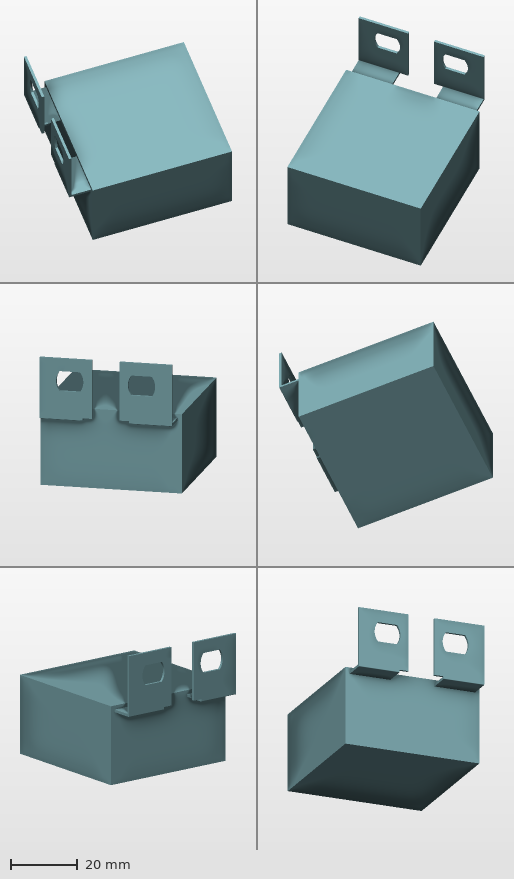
import cadquery as cq

total_length = 51.2
total_height = 41.4

housing_width = 43.5
housing_height = 24.5
terminal_reach = 7.0
housing_length = total_length - terminal_reach

sheet = 0.8
bend_radius = 0.15
side_inset = 1.4
tab_width = 16.15
foot_width = 13.2
foot_bottom = 22.5
notch_height = 0.8
tab_outer_x = housing_width / 2 - side_inset
tab_inner_x = tab_outer_x - tab_width

hole_width = 8.4
hole_height = 6.15
hole_flat = 6.25
hole_x = 11.05
hole_below_top = 7.0


def make_housing():
    return cq.Workplane("XY").box(
        housing_width, housing_length, housing_height, centered=(True, False, False)
    )


def make_angle():
    """Bent strip: foot under a full-width upright tab, with slightly eased bend edges."""
    profile = [
        (0, foot_bottom),
        (-terminal_reach, foot_bottom),
        (-terminal_reach, total_height),
        (-terminal_reach + sheet, total_height),
        (-terminal_reach + sheet, foot_bottom + sheet),
        (0, foot_bottom + sheet),
    ]
    angle = (
        cq.Workplane("YZ", origin=(tab_inner_x, 0, 0))
        .polyline(profile)
        .close()
        .extrude(tab_width)
    )
    outer_edge = cq.selectors.NearestToPointSelector(
        (tab_inner_x + tab_width / 2, -terminal_reach, foot_bottom)
    )
    inner_edge = cq.selectors.NearestToPointSelector(
        (tab_inner_x + tab_width / 2, -terminal_reach + sheet, foot_bottom + sheet)
    )
    return angle.edges(outer_edge).fillet(bend_radius).edges(inner_edge).fillet(bend_radius)


def make_foot_relief():
    """Cutter that narrows the foot and notches the tab's lower inner corner."""
    relief_width = tab_width - foot_width
    tab_notch = cq.Workplane("XY", origin=(tab_inner_x, -terminal_reach, foot_bottom)).box(
        relief_width, sheet, notch_height, centered=False
    )
    foot_relief = cq.Workplane("XY", origin=(tab_inner_x, -terminal_reach + sheet, foot_bottom)).box(
        relief_width, terminal_reach - sheet, sheet + bend_radius, centered=False
    )
    return tab_notch.union(foot_relief)


def make_hole():
    half_flat = hole_flat / 2
    half_width = hole_width / 2
    half_height = hole_height / 2
    return (
        cq.Workplane("XZ", origin=(hole_x, 0, total_height - hole_below_top))
        .moveTo(-half_flat, half_height)
        .lineTo(half_flat, half_height)
        .threePointArc((half_width, 0), (half_flat, -half_height))
        .lineTo(-half_flat, -half_height)
        .threePointArc((-half_width, 0), (-half_flat, half_height))
        .close()
        .extrude(terminal_reach)
    )


def make_terminal(mirrored):
    terminal = make_angle().cut(make_foot_relief()).cut(make_hole())
    if mirrored:
        terminal = terminal.mirror("YZ")
    return terminal


housing = make_housing()
terminals = [make_terminal(mirrored).val() for mirrored in (True, False)]

result = cq.Compound.makeCompound([housing.val(), *terminals])